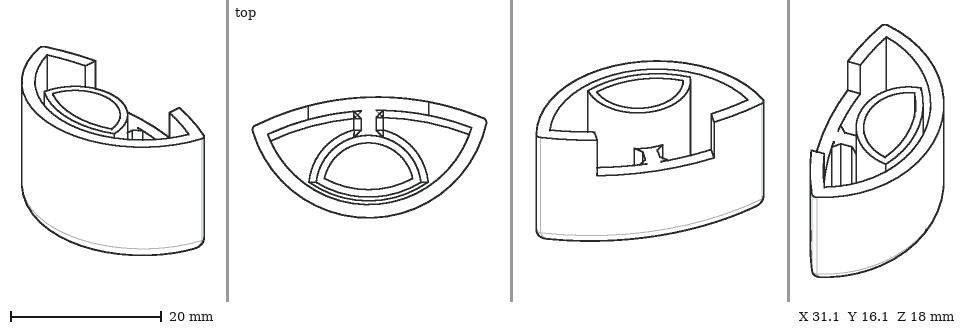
import cadquery as cq
import math

height = 18.0
floor_thickness = 2.0
bottom_round = 2.0
pocket_depth = height - floor_thickness

front_radius = 16.05
back_radius = 36.7
back_center = (1.18, -36.68)
wall = 1.77
corner_round = 0.65

tube_back_radius = 7.0
tube_center = (0, -12.07)
tube_front_radius = 13.28
tube_wall = 1.0

rib_width = 2.0
rib_flare = 0.95

skirt_height = 1.0
skirt_width = 0.95
tube_front_skirt_width = 0.5

notch_width = 16.0
notch_depth = 6.0
notch_front_y = -7.78
notch_z = height - notch_depth


def cylinder(center, radius, bottom, length):
    return cq.Workplane("XY", origin=(*center, bottom)).circle(radius).extrude(length)


def cone(center, bottom_radius, top_radius):
    """Cone frustum standing on the pocket floor, as tall as the skirts."""
    base = cq.Vector(*center, floor_thickness)
    return cq.Workplane(obj=cq.Solid.makeCone(bottom_radius, top_radius, skirt_height, base))


def lens(front, center, back, bottom, length):
    """Prism common to a cylinder about the origin and one about the given center."""
    return cylinder((0, 0), front, bottom, length).intersect(cylinder(center, back, bottom, length))


def shell_body():
    body = lens(front_radius, back_center, back_radius, 0, height)
    body = body.edges("|Z").fillet(corner_round)
    return body.faces("<Z").edges().fillet(bottom_round)


def shell_pocket():
    """Straight pocket whose back wall slopes forward near the floor."""
    inner_front = front_radius - wall
    inner_back = back_radius - wall
    pocket = lens(inner_front, back_center, inner_back, floor_thickness, pocket_depth)
    skirt = lens(inner_front, back_center, inner_back, floor_thickness, skirt_height)
    return pocket.cut(skirt.cut(cone(back_center, inner_back - skirt_width, inner_back)))


def tube():
    body = lens(tube_front_radius, tube_center, tube_back_radius, floor_thickness, pocket_depth)
    front_cone = cone((0, 0), tube_front_radius + tube_front_skirt_width, tube_front_radius)
    back_cone = cone(tube_center, tube_back_radius + skirt_width, tube_back_radius)
    return body.union(front_cone.intersect(back_cone))


def tube_bore():
    return lens(
        tube_front_radius - tube_wall,
        tube_center,
        tube_back_radius - tube_wall,
        floor_thickness,
        pocket_depth,
    )


def pocket_wall_y(x):
    """Y of the back wall's inner surface at a given X."""
    return back_center[1] + math.sqrt((back_radius - wall) ** 2 - (x - back_center[0]) ** 2)


def pyramid(base, apex):
    """Solid over a triangular base given by three points."""
    a, b, c = (cq.Vector(*point) for point in base)
    tip = cq.Vector(*apex)
    triangles = [(a, b, c), (a, b, tip), (b, c, tip), (c, a, tip)]
    faces = [cq.Face.makeFromWires(cq.Wire.makePolygon([*t, t[0]])) for t in triangles]
    return cq.Workplane(obj=cq.Solid.makeSolid(cq.Shell.makeShell(faces)))


def flare(side, end_y, direction):
    """Triangular corner web at one rib end, running to a point at the pocket floor."""
    inner_x = side * rib_width / 2
    outer_x = inner_x + side * rib_flare
    near_y = end_y + direction * rib_flare
    skirt_top = floor_thickness + skirt_height
    corners = [(inner_x, end_y), (outer_x, end_y), (inner_x, near_y)]
    upper = cq.Workplane("XY", origin=(0, 0, skirt_top)).polyline(corners).close()
    upper = upper.extrude(notch_z - skirt_top)
    base = [(x, y, skirt_top) for x, y in corners]
    return upper.union(pyramid(base, (outer_x, near_y, floor_thickness)))


def rib():
    """Rib with sloped sides near the floor and flared corners at both ends."""
    half = rib_width / 2
    flared = half + rib_flare
    skirt_top = floor_thickness + skirt_height
    profile = [
        (-half - skirt_width, floor_thickness),
        (half + skirt_width, floor_thickness),
        (half, skirt_top),
        (half, notch_z),
        (-half, notch_z),
        (-half, skirt_top),
    ]
    body = cq.Workplane("XZ").polyline(profile).close().extrude(-tube_center[1])
    tube_y = tube_center[1] + math.sqrt(tube_back_radius**2 - flared**2)
    for side in (-1, 1):
        body = body.union(flare(side, tube_y, 1))
        body = body.union(flare(side, pocket_wall_y(side * flared), -1))
    return body.intersect(shell_envelope())


def shell_envelope():
    """Region inside the middle of the shell wall, so that the rib ends stay in material."""
    inset = wall / 2
    return lens(front_radius - inset, back_center, back_radius - inset, 0, height)


def notch():
    """Opening through the back wall and above the rib, leaving the tube whole."""
    length = wall - notch_front_y
    block = cq.Workplane("XY", origin=(0, notch_front_y + length / 2, notch_z))
    return block.rect(notch_width, length).extrude(notch_depth)


shell = shell_body().cut(shell_pocket()).cut(notch())
result = shell.union(rib()).union(tube()).cut(tube_bore())